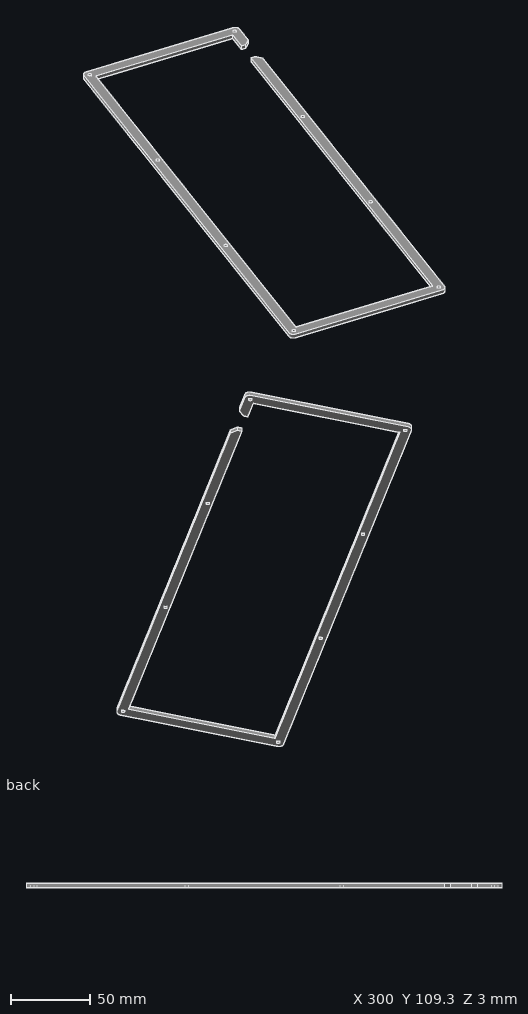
import cadquery as cq

length = 300.0
width = 109.3
thickness = 3.0
rail_width = 6.5
corner_radius = 3.0

hole_diameter = 2.2
holes_per_rail = 4
hole_pitch = 97.5
hole_inset = (length - (holes_per_rail - 1) * hole_pitch) / 2

gap_start = 19.2
gap_width = 13.5
gap_chamfer = 3.5


def make_frame():
    """Flat rectangular ring with rounded outer and sharp inner corners."""
    plate = cq.Workplane("XY").box(length, width, thickness, centered=(True, True, False))
    plate = plate.edges("|Z").fillet(corner_radius)
    window = cq.Workplane("XY").rect(length - 2 * rail_width, width - 2 * rail_width)
    return plate.cut(window.extrude(thickness))


def make_rail_gap():
    """Cutter for the rear rail opening, which flares out at the outer edge."""
    left = -length / 2 + gap_start
    right = left + gap_width
    outer = width / 2
    inner = outer - rail_width
    flare_base = outer - gap_chamfer
    return (
        cq.Workplane("XY")
        .moveTo(left, inner)
        .lineTo(right, inner)
        .lineTo(right, flare_base)
        .lineTo(right + gap_chamfer, outer)
        .lineTo(left - gap_chamfer, outer)
        .lineTo(left, flare_base)
        .close()
        .extrude(thickness)
    )


def make_screw_holes():
    """Cutter for the two rows of through holes."""
    row_spacing = width - 2 * hole_inset
    return (
        cq.Workplane("XY")
        .rarray(hole_pitch, row_spacing, holes_per_rail, 2)
        .circle(hole_diameter / 2)
        .extrude(thickness)
    )


result = make_frame().cut(make_rail_gap()).cut(make_screw_holes())